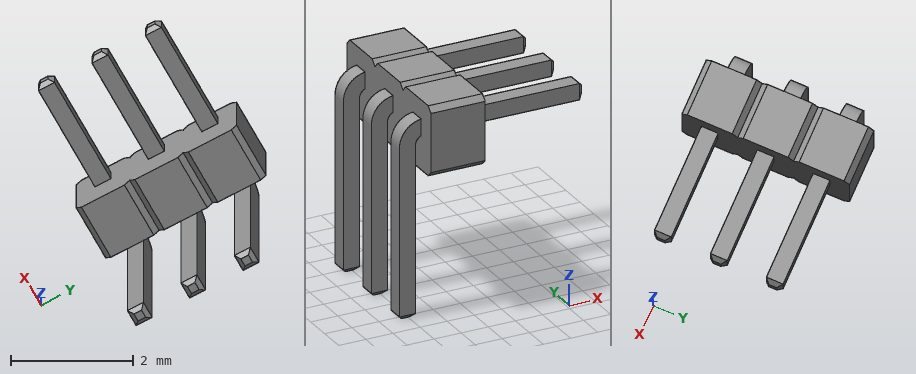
import cadquery as cq

pin_count = 3
body_length = 3.0
body_depth = 1.0
body_height = 1.273
body_chamfer = 0.1
pin_width = 0.3
tip_chamfer = 0.08
pin_reach = 3.4
pin_top_drop = 0.345
body_offset = 0.4
bend_outer_radius = 0.45
total_height = 3.94

bend_inner_radius = bend_outer_radius - pin_width
body_bottom = total_height - body_height
pin_top = total_height - pin_top_drop
segment_length = body_length / pin_count


def body_segment(y_center):
    """One housing cell with its four long edges chamfered."""
    return (
        cq.Workplane("XY")
        .box(body_depth, segment_length, body_height, centered=(False, True, False))
        .edges("|X")
        .chamfer(body_chamfer)
        .translate((body_offset, y_center, body_bottom))
    )


def bent_pin(y_center):
    """Square pin bent through a right angle, with both tips chamfered."""
    bend_z = pin_top - bend_outer_radius
    profile = (
        cq.Workplane("XZ")
        .moveTo(0, 0)
        .lineTo(0, bend_z)
        .radiusArc((bend_outer_radius, pin_top), bend_outer_radius)
        .lineTo(pin_reach, pin_top)
        .lineTo(pin_reach, pin_top - pin_width)
        .lineTo(bend_outer_radius, pin_top - pin_width)
        .radiusArc((pin_width, bend_z), -bend_inner_radius)
        .lineTo(pin_width, 0)
        .close()
    )
    pin = profile.extrude(pin_width / 2, both=True)
    pin = pin.faces("<Z").chamfer(tip_chamfer)
    pin = pin.faces(">X").chamfer(tip_chamfer)
    return pin.translate((0, y_center, 0))


cell_centers = [(i - (pin_count - 1) / 2) * segment_length for i in range(pin_count)]

result = body_segment(cell_centers[0])
for y_center in cell_centers[1:]:
    result = result.union(body_segment(y_center))
for y_center in cell_centers:
    result = result.union(bent_pin(y_center))